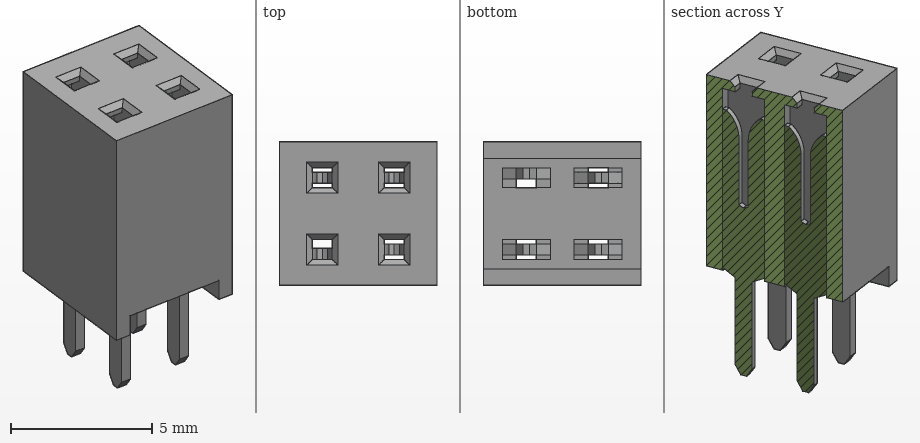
import cadquery as cq
import math

HOUSING_X = 5.58
HOUSING_Y = 5.08
HOUSING_Z = 8.4
FOOT_Y = 0.59
FOOT_Z = 0.8
PITCH = 2.54

MOUTH = 1.1
NECK = 0.7
FUNNEL_DEPTH = 0.2
NECK_LENGTH = 0.2
CAVITY_X = 1.7
CAVITY_TOP = HOUSING_Z - FUNNEL_DEPTH - NECK_LENGTH

THICKNESS = 0.4
PIN_X = 0.72
PIN_BOTTOM = -3.15
TIP_X = 0.24
TIP_Z = 0.36
SHOULDER_DROP = 0.15
SHOULDER_BOTTOM = FOOT_Z - SHOULDER_DROP
SHOULDER_ANGLE = math.radians(28)
SHOULDER_TOP = SHOULDER_BOTTOM + (CAVITY_X - PIN_X) / 2 * math.tan(SHOULDER_ANGLE)

TINE_GAP = 0.36
LEAD_IN_RADIUS = 1.2
TINE_TOP_X = 0.15
TINE_CLEARANCE = 0.8
TINE_TOP = CAVITY_TOP - TINE_CLEARANCE
GAP_FLOOR = 3.5
FLOOR_RADIUS = 1.0
FLOOR_START_ANGLE = math.radians(18)

SHIFTED_CONTACT = (-PITCH / 2, -PITCH / 2)
SHIFT_Y = -(NECK - THICKNESS) / 2
SHIFT_Z = 0.04

GRID = [(x, y) for x in (-PITCH / 2, PITCH / 2) for y in (-PITCH / 2, PITCH / 2)]


def make_housing():
    block = cq.Workplane("XY").box(HOUSING_X, HOUSING_Y, HOUSING_Z, centered=(True, True, False))
    channel = cq.Workplane("XY").box(
        HOUSING_X, HOUSING_Y - 2 * FOOT_Y, FOOT_Z, centered=(True, True, False)
    )
    housing = block.cut(channel)
    for x, y in GRID:
        housing = housing.cut(make_hole().translate((x, y, 0)))
    return housing


def make_hole():
    funnel = (
        cq.Workplane("XY", origin=(0, 0, HOUSING_Z))
        .rect(MOUTH, MOUTH)
        .workplane(offset=-FUNNEL_DEPTH)
        .rect(NECK, NECK)
        .loft(ruled=True)
    )
    neck = cq.Workplane("XY", origin=(0, 0, CAVITY_TOP)).rect(NECK, NECK).extrude(NECK_LENGTH)
    cavity = (
        cq.Workplane("XY", origin=(0, 0, FOOT_Z))
        .rect(CAVITY_X, NECK)
        .extrude(CAVITY_TOP - FOOT_Z)
    )
    return funnel.union(neck).union(cavity)


def make_contact():
    """One contact centred on X = Y = 0: half of its outline, extruded and mirrored."""
    half_gap = TINE_GAP / 2

    lead_in_x = CAVITY_X / 2 - TINE_TOP_X
    lead_in_end_angle = math.acos(1 - (lead_in_x - half_gap) / LEAD_IN_RADIUS)
    lead_in_start_z = TINE_TOP - LEAD_IN_RADIUS * math.sin(lead_in_end_angle)
    lead_in_mid_angle = lead_in_end_angle / 2
    lead_in_mid = (
        half_gap + LEAD_IN_RADIUS * (1 - math.cos(lead_in_mid_angle)),
        lead_in_start_z + LEAD_IN_RADIUS * math.sin(lead_in_mid_angle),
    )

    floor_end_angle = math.asin(math.sin(FLOOR_START_ANGLE) + half_gap / FLOOR_RADIUS)
    floor_mid_angle = (FLOOR_START_ANGLE + floor_end_angle) / 2

    def floor_point(angle):
        x = FLOOR_RADIUS * (math.sin(angle) - math.sin(FLOOR_START_ANGLE))
        z = GAP_FLOOR + FLOOR_RADIUS * (math.cos(FLOOR_START_ANGLE) - math.cos(angle))
        return (x, z)

    half = (
        cq.Workplane("XZ", origin=(0, THICKNESS / 2, 0))
        .moveTo(0, PIN_BOTTOM)
        .lineTo(TIP_X / 2, PIN_BOTTOM)
        .lineTo(PIN_X / 2, PIN_BOTTOM + TIP_Z)
        .lineTo(PIN_X / 2, SHOULDER_BOTTOM)
        .lineTo(CAVITY_X / 2, SHOULDER_TOP)
        .lineTo(CAVITY_X / 2, TINE_TOP)
        .lineTo(lead_in_x, TINE_TOP)
        .threePointArc(lead_in_mid, (half_gap, lead_in_start_z))
        .lineTo(*floor_point(floor_end_angle))
        .threePointArc(floor_point(floor_mid_angle), floor_point(FLOOR_START_ANGLE))
        .close()
        .extrude(THICKNESS)
    )
    return half.union(half.mirror("YZ"))


housing = make_housing()

contacts = []
for x, y in GRID:
    shifted = (x, y) == SHIFTED_CONTACT
    dy = SHIFT_Y if shifted else 0
    dz = SHIFT_Z if shifted else 0
    contacts.append(make_contact().translate((x, y + dy, dz)))

result = cq.Compound.makeCompound([housing.val(), *[contact.val() for contact in contacts]])